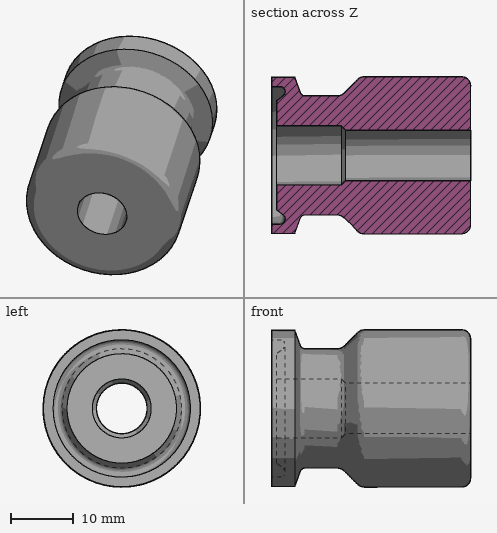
import cadquery as cq
import math

length = 31.75
body_radius = 25.15 / 2

flange_radius = 25.0 / 2
flange_rim_width = 3.68
flange_back_slope = math.radians(20)

neck_radius = 19.05 / 2
neck_flange_fillet = 0.75
shoulder_start = 11.1
shoulder_fillet = 1.5
end_fillet = 1.5

recess_radius = 21.9 / 2
recess_wall_depth = 1.33
seat_depth = 0.8
seat_radius = 17.45 / 2
groove_radius = 0.8
groove_slope = math.radians(35)

bore_entry_radius = 9.4 / 2
bore_exit_radius = 8.03 / 2


def fillet_circle(solid, x, radius, fillet):
    """Round the circular edge of the given radius in the plane at x."""
    tolerance = 0.003
    box = cq.selectors.BoxSelector(
        (x - tolerance, -radius - 0.32, -radius - 0.32),
        (x + tolerance, radius + 0.32, radius + 0.32),
        boundingbox=True,
    )
    return solid.edges(box).fillet(fillet)


def make_outer_body():
    flange_back_end = flange_rim_width + (flange_radius - neck_radius) * math.tan(flange_back_slope)
    shoulder_end = shoulder_start + body_radius - neck_radius
    body = (
        cq.Workplane("XY")
        .lineTo(0, flange_radius)
        .lineTo(flange_rim_width, flange_radius)
        .lineTo(flange_back_end, neck_radius)
        .lineTo(shoulder_start, neck_radius)
        .lineTo(shoulder_end, body_radius)
        .lineTo(length, body_radius)
        .lineTo(length, 0)
        .close()
        .revolve(360, (0, 0, 0), (1, 0, 0))
    )
    body = fillet_circle(body, flange_back_end, neck_radius, neck_flange_fillet)
    body = fillet_circle(body, shoulder_start, neck_radius, shoulder_fillet)
    body = fillet_circle(body, shoulder_end, body_radius, shoulder_fillet)
    return fillet_circle(body, length, body_radius, end_fillet)


def make_face_recess():
    """Seat recess surrounded by a round-bottomed groove."""
    center_x = recess_wall_depth
    center_r = recess_radius - groove_radius

    def groove_point(angle):
        return (center_x + groove_radius * math.sin(angle), center_r - groove_radius * math.cos(angle))

    return (
        cq.Workplane("XY")
        .lineTo(0, recess_radius)
        .lineTo(recess_wall_depth, recess_radius)
        .threePointArc((center_x + groove_radius, center_r), groove_point(groove_slope))
        .lineTo(seat_depth, seat_radius)
        .lineTo(seat_depth, 0)
        .close()
        .revolve(360, (0, 0, 0), (1, 0, 0))
    )


def make_bore():
    cone_end = shoulder_start + bore_entry_radius - bore_exit_radius
    return (
        cq.Workplane("XY")
        .moveTo(seat_depth, 0)
        .lineTo(seat_depth, bore_entry_radius)
        .lineTo(shoulder_start, bore_entry_radius)
        .lineTo(cone_end, bore_exit_radius)
        .lineTo(length, bore_exit_radius)
        .lineTo(length, 0)
        .close()
        .revolve(360, (0, 0, 0), (1, 0, 0))
    )


result = make_outer_body().cut(make_face_recess()).cut(make_bore())